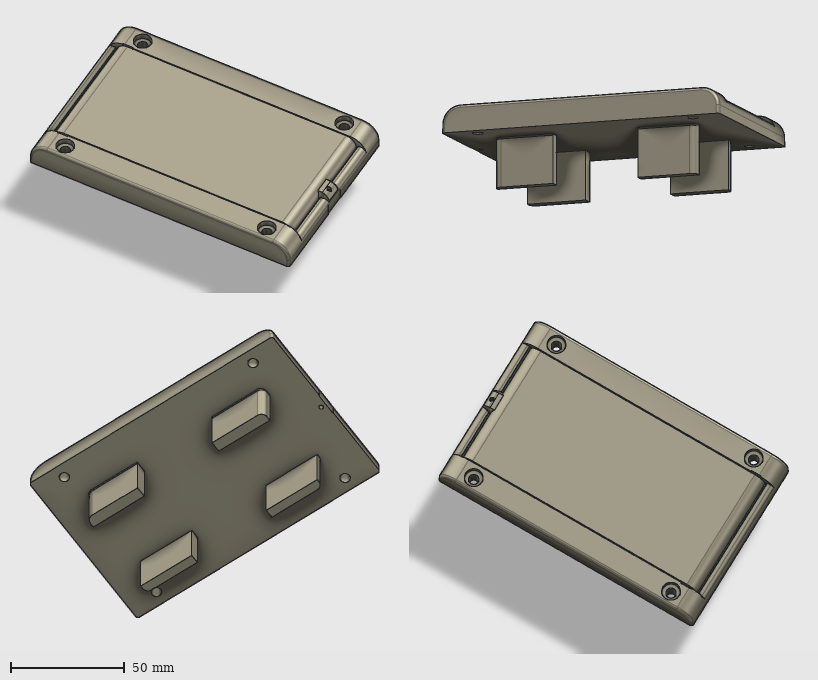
import cadquery as cq
import math

LENGTH = 130.2
WIDTH = 83.2
HEIGHT = 12.2
DRAFT = 1.0
END_RADIUS = 8.5
EDGE_RADIUS = 1.3

POCKET_WIDTH = 59.2
POCKET_DEPTH = 5.5
POCKET_HALF_LENGTH = 60.8
LIP_DROP = 4.0
LEFT_LIP_EDGE = 62.6
RIGHT_LIP_EDGE = 61.8
RELIEF_LENGTH = 5.0
RELIEF_DEPTH = 0.4
RELIEF_CENTRE_X = -54.9

SCREW_X = 50.5
SCREW_Y = 35.4
SCREW_DIAMETER = 4.5
COUNTERBORE_DIAMETER = 8.2
COUNTERBORE_DEPTH = 2.9

LEG_HEIGHT = 22.3
LEG_LENGTH = 27.3
LEG_OUTER_X = 47.3
FRONT_LEG_OUTER_Y = 23.0
REAR_LEG_OUTER_Y = 22.9
FRONT_LEG_THICKNESS = 5.2
REAR_LEG_THICKNESS = 4.3
LEG_RADIUS = 3.0
LEG_FLARE = 0.4
LEG_FLARE_HEIGHT = 0.7

LID_WIDTH = 58.3
LID_HALF_LENGTH = 60.0
LID_END_RADIUS = 5.2

TAB_TOP_WIDTH = 7.7
TAB_FOOT_WIDTH = 10.8
TAB_START_X = 57.3
TAB_FLAT_END_X = 61.0
TAB_END_X = 64.5
TAB_BEVEL_DROP = 0.4
TAB_RISE = 2.2
TAB_FOOT_SINK = 0.1
TAB_END_DROP = 5.5
TAB_FOOT_END_DROP = 6.4
TAB_BASE_DROP = 7.2
SEAL_X = 62.4
SEAL_DIAMETER = 2.0
SEAL_RECESS_DEPTH = 0.3

POCKET_FLOOR_Z = HEIGHT - POCKET_DEPTH
LIP_Z = HEIGHT - LIP_DROP
END_CENTRE_Z = HEIGHT - END_RADIUS
DRAFT_ANGLE = math.radians(DRAFT)
END_CENTRE_X = LENGTH / 2 - END_CENTRE_Z * math.tan(DRAFT_ANGLE) - END_RADIUS / math.cos(DRAFT_ANGLE)
CLEARANCE = 6.5


def drafted_block():
    """Block with large roundings at both ends and small ones along its long edges and corners."""
    block = cq.Workplane("XY").rect(LENGTH, WIDTH).extrude(HEIGHT, taper=DRAFT)
    block = block.faces(">Z").edges("|Y").fillet(END_RADIUS)
    rim = block.faces(">Y or <Y").edges().filter(lambda edge: edge.Center().z > EDGE_RADIUS / 2)
    return rim.fillet(EDGE_RADIUS)


def lip_arc(lip_edge):
    """Mid and end point of the lip rounding, tangent to the lip flat and to the end rounding."""
    offset_x = lip_edge - END_CENTRE_X
    offset_z = LIP_Z - END_CENTRE_Z
    radius = (END_RADIUS**2 - offset_x**2 - offset_z**2) / (2 * (END_RADIUS - offset_z))
    end_angle = math.atan2(offset_z - radius, offset_x)
    mid_angle = (end_angle + math.pi / 2) / 2
    centre_z = LIP_Z - radius

    def on_arc(angle):
        return lip_edge + radius * math.cos(angle), centre_z + radius * math.sin(angle)

    return on_arc(mid_angle), on_arc(end_angle)


def pocket_half(side, lip_edge):
    """Pocket from the centre to one end; side is -1 for left and 1 for right."""
    mid, end = lip_arc(lip_edge)
    outside_x = LENGTH / 2 + CLEARANCE
    above_z = HEIGHT + CLEARANCE
    return (
        cq.Workplane("XZ")
        .moveTo(0, POCKET_FLOOR_Z)
        .lineTo(side * POCKET_HALF_LENGTH, POCKET_FLOOR_Z)
        .lineTo(side * POCKET_HALF_LENGTH, LIP_Z)
        .lineTo(side * lip_edge, LIP_Z)
        .threePointArc((side * mid[0], mid[1]), (side * end[0], end[1]))
        .lineTo(side * outside_x, end[1])
        .lineTo(side * outside_x, above_z)
        .lineTo(0, above_z)
        .close()
        .extrude(POCKET_WIDTH / 2, both=True)
    )


def wall_relief():
    return cq.Workplane("XY").box(
        RELIEF_LENGTH, POCKET_WIDTH + 2 * RELIEF_DEPTH, POCKET_DEPTH, centered=(True, True, False)
    ).translate((RELIEF_CENTRE_X, 0, POCKET_FLOOR_Z))


def leg(side_x, side_y, outer_y, thickness):
    """Upright leg, rounded at its outer corner and flared on its outer side next to the housing."""
    centre_x = side_x * (LEG_OUTER_X - LEG_LENGTH / 2)
    centre_y = side_y * (outer_y - thickness / 2)
    outer_corner = cq.selectors.NearestToPointSelector(
        (side_x * LEG_OUTER_X, side_y * outer_y, -LEG_HEIGHT / 2)
    )
    post = (
        cq.Workplane("XY")
        .center(centre_x, centre_y)
        .rect(LEG_LENGTH, thickness)
        .extrude(-LEG_HEIGHT)
        .edges("|Z")
        .edges(outer_corner)
        .fillet(LEG_RADIUS)
    )
    footprint = post.faces(">Z").val().outerWire()
    flare_top = footprint.translate(cq.Vector(0, side_y * LEG_FLARE, 0))
    flare_bottom = footprint.translate(cq.Vector(0, 0, -LEG_FLARE_HEIGHT))
    return post.union(cq.Workplane(cq.Solid.makeLoft([flare_bottom, flare_top], True)))


def seal_hole():
    return cq.Workplane("XY").center(SEAL_X, 0).circle(SEAL_DIAMETER / 2).extrude(HEIGHT)


def seal_recess():
    return cq.Workplane("XY").box(
        CLEARANCE, TAB_FOOT_WIDTH, HEIGHT, centered=(False, True, False)
    ).translate((LENGTH / 2 - SEAL_RECESS_DEPTH, 0, 0))


def build_housing():
    body = drafted_block()
    body = body.cut(pocket_half(-1, LEFT_LIP_EDGE)).cut(pocket_half(1, RIGHT_LIP_EDGE))
    body = body.cut(wall_relief())
    body = (
        body.faces(">Z")
        .workplane(origin=(0, 0, HEIGHT))
        .rect(2 * SCREW_X, 2 * SCREW_Y, forConstruction=True)
        .vertices()
        .cboreHole(SCREW_DIAMETER, COUNTERBORE_DIAMETER, COUNTERBORE_DEPTH)
    )
    for side_x in (-1, 1):
        body = body.union(leg(side_x, -1, FRONT_LEG_OUTER_Y, FRONT_LEG_THICKNESS))
        body = body.union(leg(side_x, 1, REAR_LEG_OUTER_Y, REAR_LEG_THICKNESS))
    return body.cut(seal_hole()).cut(seal_recess())


def lid_plate():
    plate = (
        cq.Workplane("XY", origin=(0, 0, POCKET_FLOOR_Z))
        .rect(2 * LID_HALF_LENGTH, LID_WIDTH)
        .extrude(POCKET_DEPTH)
    )
    return plate.faces(">Z").edges("|Y").fillet(LID_END_RADIUS)


def tab_section(y, rise, end_drop):
    """Outline of the tab at one Y; its flat top lies the given rise above the lip."""
    top_z = LIP_Z + rise
    base_z = HEIGHT - TAB_BASE_DROP
    return (
        cq.Workplane("XZ", origin=(0, y, 0))
        .moveTo(TAB_START_X, base_z)
        .lineTo(TAB_START_X, top_z)
        .lineTo(TAB_FLAT_END_X, top_z)
        .lineTo(RIGHT_LIP_EDGE, top_z - TAB_BEVEL_DROP)
        .tangentArcPoint((TAB_END_X, HEIGHT - end_drop), relative=False)
        .lineTo(TAB_END_X, base_z)
        .close()
        .wire()
        .val()
    )


def sealing_tab():
    """Raised tab from the lid end over the lip, with sloping flanks."""
    inner_y = TAB_TOP_WIDTH / 2
    outer_y = TAB_FOOT_WIDTH / 2
    sections = [
        tab_section(-outer_y, -TAB_FOOT_SINK, TAB_FOOT_END_DROP),
        tab_section(-inner_y, TAB_RISE, TAB_END_DROP),
        tab_section(inner_y, TAB_RISE, TAB_END_DROP),
        tab_section(outer_y, -TAB_FOOT_SINK, TAB_FOOT_END_DROP),
    ]
    return cq.Workplane(cq.Solid.makeLoft(sections, True))


def build_lid(housing):
    tab = sealing_tab().cut(housing)
    return lid_plate().union(tab).cut(seal_hole())


housing = build_housing()
lid = build_lid(housing)

result = cq.Compound.makeCompound([housing.solids().val(), lid.solids().val()])